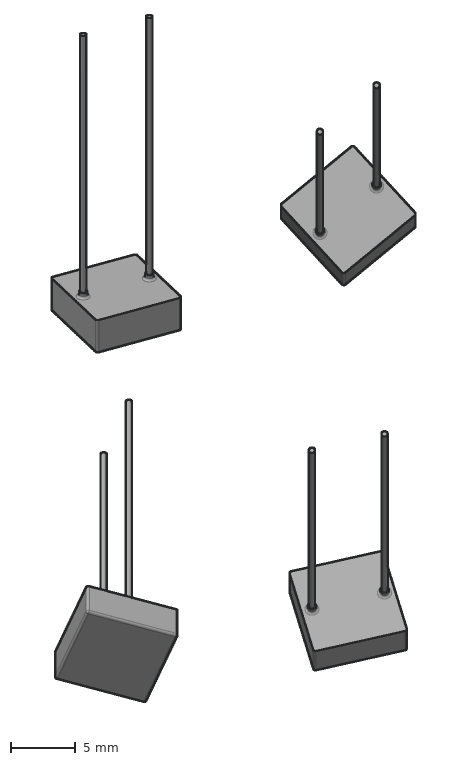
import cadquery as cq

total_height = 26.5
body_side = 7.5
body_height = 3.0
edge_radius = 0.2

lead_diameter = 0.5
lead_spacing = 5.8
collar_diameter = 0.7
collar_height = 0.45
flare_radius = 0.2

lead_radius = lead_diameter / 2
collar_radius = collar_diameter / 2
shoulder_radius = collar_radius - lead_radius


def make_body():
    """Square block with rounded upright edges and a rounded bottom rim."""
    block = cq.Workplane("XY").box(body_side, body_side, body_height, centered=(True, True, False))
    return block.edges("|Z").fillet(edge_radius).faces("<Z").edges().fillet(edge_radius)


def make_lead():
    """Lead and collar revolved about Z, starting inside the body for a sound union."""
    embed_depth = body_height / 2
    lead_length = total_height - body_height
    flare_foot = collar_radius + flare_radius
    diagonal = 0.5 ** 0.5
    flare_middle = (flare_foot - flare_radius * diagonal, flare_radius * (1 - diagonal))
    shoulder_start = collar_height - shoulder_radius
    shoulder_middle = (
        lead_radius + shoulder_radius * diagonal,
        shoulder_start + shoulder_radius * diagonal,
    )
    profile = (
        cq.Workplane("XZ")
        .moveTo(0, -embed_depth)
        .lineTo(flare_foot, -embed_depth)
        .lineTo(flare_foot, 0)
        .threePointArc(flare_middle, (collar_radius, flare_radius))
        .lineTo(collar_radius, shoulder_start)
        .threePointArc(shoulder_middle, (lead_radius, collar_height))
        .lineTo(lead_radius, lead_length)
        .lineTo(0, lead_length)
        .close()
    )
    return profile.revolve(360, (0, 0, 0), (0, 1, 0))


result = make_body()
for side in (-1, 1):
    result = result.union(make_lead().translate((0, side * lead_spacing / 2, body_height)))